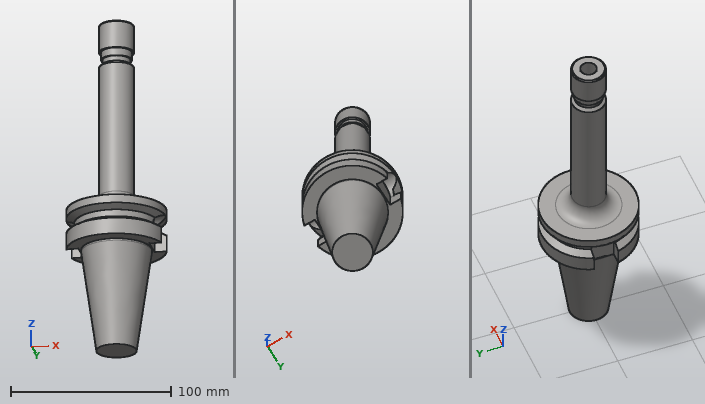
import cadquery as cq
import math

total_height = 215.5
gauge_height = 65.5
flange_bottom = 66.5
flange_top = 92.5

gauge_radius = 22.2
taper_ratio = 7 / 24
small_end_radius = gauge_radius - gauge_height * taper_ratio / 2

flange_radius = 31.5
groove_radius = 26.5
upper_rim_height = 5.4
groove_height = 10.1
groove_wall_rise = (flange_radius - groove_radius) * math.tan(math.radians(30))
groove_top = flange_top - upper_rim_height
groove_bottom = groove_top - groove_height

slot_width = 16.2
slot_floor = 22.6
slot_top = groove_top

stem_radius = 11.0
base_fillet = 9.7
nose_chamfer = 0.9
head_height = 17.9
collar_radius = 9.7
collar_height = 5.0
neck_radius = 8.8
neck_height = 3.2
neck_bevel_height = 2.0
head_bottom = total_height - head_height
collar_bottom = head_bottom - collar_height
neck_bottom = collar_bottom - neck_height
stem_top = neck_bottom - neck_bevel_height

bore_radius = 5.2
bore_depth = 25.8


def make_body():
    """Revolve the taper, flange, stem and nose about Z."""
    fillet_diagonal = base_fillet * math.sqrt(0.5)
    fillet_middle = (
        stem_radius + base_fillet - fillet_diagonal,
        flange_top + base_fillet - fillet_diagonal,
    )
    return (
        cq.Workplane("XZ")
        .lineTo(small_end_radius, 0)
        .lineTo(gauge_radius, gauge_height)
        .lineTo(gauge_radius, flange_bottom)
        .lineTo(flange_radius, flange_bottom)
        .lineTo(flange_radius, groove_bottom)
        .lineTo(groove_radius, groove_bottom + groove_wall_rise)
        .lineTo(groove_radius, groove_top - groove_wall_rise)
        .lineTo(flange_radius, groove_top)
        .lineTo(flange_radius, flange_top)
        .lineTo(stem_radius + base_fillet, flange_top)
        .threePointArc(fillet_middle, (stem_radius, flange_top + base_fillet))
        .lineTo(stem_radius, stem_top)
        .lineTo(neck_radius, neck_bottom)
        .lineTo(neck_radius, collar_bottom)
        .lineTo(collar_radius, collar_bottom)
        .lineTo(collar_radius, head_bottom)
        .lineTo(stem_radius, head_bottom)
        .lineTo(stem_radius, total_height - nose_chamfer)
        .lineTo(stem_radius - nose_chamfer, total_height)
        .lineTo(0, total_height)
        .close()
        .revolve(360, (0, 0), (0, 1))
    )


def make_slot():
    """Round-topped drive slot on the +X side, open at the flange underside."""
    half_width = slot_width / 2
    arc_start = slot_top - half_width
    return (
        cq.Workplane("YZ", origin=(slot_floor, 0, 0))
        .moveTo(-half_width, gauge_height)
        .lineTo(half_width, gauge_height)
        .lineTo(half_width, arc_start)
        .threePointArc((0, slot_top), (-half_width, arc_start))
        .close()
        .extrude(flange_radius)
    )


def make_bore():
    """Blind central hole opening at the nose."""
    return (
        cq.Workplane("XY", origin=(0, 0, total_height - bore_depth))
        .circle(bore_radius)
        .extrude(bore_depth)
    )


result = make_body().cut(make_bore())
for side_angle in (0, 180):
    result = result.cut(make_slot().rotate((0, 0, 0), (0, 0, 1), side_angle))